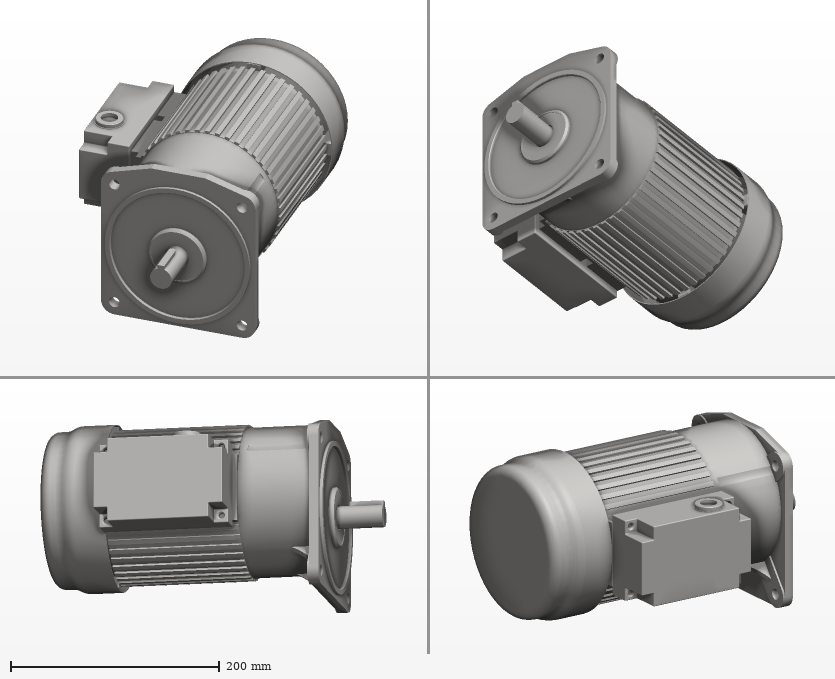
import cadquery as cq
import math


SHAFT_END_Y = -48.5
CASE_BACK_Y = 81.0
FRAME_BACK_Y = 210.5
COVER_BACK_Y = 275.2

SHAFT_DROP = 18.0
SHAFT_R = 11.0
SHAFT_TAIL = 16.2
KEY_WIDTH = 6.8
KEY_TOP = 14.5
KEY_LENGTH = 35.0

CASE_R = 72.5
FLANGE_HALF = 79.0
FLANGE_THICKNESS = 9.5
FLANGE_TOP_HALF = 27.5
BOLT_OFFSET = 65.5
FLANGE_CORNER_R = FLANGE_HALF - BOLT_OFFSET
BOLT_HOLE_R = 5.5
PAD_HEIGHT = 2.0
GROOVE_R = 12.5
GROOVE_AXIS_R = 84.2
GROOVE_ANGLE = 34.6
GROOVE_END_Y = 73.2
SPIGOT_R = 74.0
SPIGOT_HEIGHT = 3.0
RECESS_R = 68.5
RECESS_CHAMFER = 0.5
COLLAR_R = 29.5
COLLAR_HEIGHT = 5.0
COLLAR_CHAMFER = 2.0
COLLAR_SINK_R = 26.0
COLLAR_SINK_DEPTH = 0.5
SEAL_R = 12.3
SEAL_DEPTH = 3.2
RIB_WIDTH = 5.8
RIB_SAG = 2.0
RIB_EMBED = 1.5
BOTTOM_RIB_FOOT = 91.0
BOTTOM_RIB_BACK_Y = 39.0
CORNER_RIB_FOOT = 91.3
CORNER_RIB_BACK_Y = 34.5

FIN_COUNT = 45
FIN_WIDTH = 5.0
FIN_R = 75.5
FIN_ROOT_R = 73.2
SEAT_X = 73.2
SEAT_HALF_HEIGHT = 32.5
SEAT_DEPTH = 10.5
FOOT_FRONT_Y = 89.7
FOOT_GAP = (153.5, 163.0)

COVER_R = 81.0
COVER_NECK_R = 76.0
COVER_WALL = 1.0
CAVITY_CONE_Y = 244.0
CAVITY_END_Y = 249.3
CAVITY_END_R = 71.0
COVER_BACK_FILLET = 10.0
SHOULDER_START_Y = 241.2
SHOULDER_MID_Y = 251.5
SHOULDER_END_Y = 258.5
TAB_WIDTH = 13.0
TAB_COUNT = 4
TAB_LENGTH = 26.0
TAB_EMBED = 3.2
TAB_CLEARANCE = 0.5
HUB_R = 68.0

BOX_OUTER_X = 132.5
BOX_INNER_X = 81.0
BOX_HALF_HEIGHT = 40.8
BOX_FRONT_Y = 84.0
BOX_EDGE_R = 1.0
NOTCH_DEPTH = 29.0
NOTCH_SIZE = 13.5
SCREW_OFFSET = 6.8
SCREW_R = 2.5
SCREW_DEPTH = 5.0
SCREW_SINK = 1.3
GLAND_X = -115.0
GLAND_Y = 121.7
GLAND_R = 13.5
WASHER_R = 14.5
WASHER_HEIGHT = 0.5
GLAND_HEIGHT = 5.0
GLAND_CHAMFER = 0.5
GLAND_BORE_R = 8.5


def cylinder(radius, y_from, y_to, x=0, z=0):
    """Cylinder along Y between two Y positions."""
    base = cq.Workplane("XZ", origin=(0, y_from, 0)).center(x, z)
    return base.circle(radius).extrude(y_from - y_to)


def block(x_from, x_to, y_from, y_to, z_from, z_to):
    """Box given by its limits."""
    size = (x_to - x_from, y_to - y_from, z_to - z_from)
    return cq.Workplane("XY").box(*size, centered=False).translate((x_from, y_from, z_from))


def about_motor_axis(shape, degrees):
    """Turn a shape around the motor axis, counter-clockwise seen from the front."""
    return shape.rotate((0, 0, 0), (0, -1, 0), degrees)


BOLTS = [
    (side * BOLT_OFFSET, -SHAFT_DROP + level * BOLT_OFFSET)
    for side in (-1, 1)
    for level in (-1, 1)
]


def make_flange():
    bottom = -SHAFT_DROP - FLANGE_HALF
    run = BOLT_OFFSET - FLANGE_TOP_HALF
    fall = CASE_R - (BOLT_OFFSET - SHAFT_DROP)
    slope_angle = math.atan2(fall, run) - math.asin(FLANGE_CORNER_R / math.hypot(run, fall))
    shoulder = CASE_R - math.tan(slope_angle) * (FLANGE_HALF - FLANGE_TOP_HALF)
    outline = [
        (-FLANGE_HALF, bottom),
        (FLANGE_HALF, bottom),
        (FLANGE_HALF, shoulder),
        (FLANGE_TOP_HALF, CASE_R),
        (-FLANGE_TOP_HALF, CASE_R),
        (-FLANGE_HALF, shoulder),
    ]
    plate = cq.Workplane("XZ").polyline(outline).close().extrude(-FLANGE_THICKNESS)
    side_corners = plate.edges("|Y").filter(lambda edge: abs(edge.Center().x) > BOLT_OFFSET)
    return side_corners.fillet(FLANGE_CORNER_R)


def make_bolt_pad(x, z):
    """Raised bar around a bolt hole, running in to the motor axis."""
    reach = math.hypot(x, z)
    bar = block(0, reach, 0, FLANGE_THICKNESS + PAD_HEIGHT, -FLANGE_CORNER_R, FLANGE_CORNER_R)
    pad = bar.union(cylinder(FLANGE_CORNER_R, 0, FLANGE_THICKNESS + PAD_HEIGHT, x=reach))
    return about_motor_axis(pad, math.degrees(math.atan2(z, x)))


def make_rib(foot, back_y):
    """Hollow-edged rib along +X from the case wall out to the flange, with its foot on the pad."""
    start = (CASE_R - RIB_EMBED, back_y + RIB_EMBED)
    end = (foot, FLANGE_THICKNESS + PAD_HEIGHT)
    span = math.dist(start, end)
    middle = (
        (start[0] + end[0]) / 2 - RIB_SAG * (start[1] - end[1]) / span,
        (start[1] + end[1]) / 2 - RIB_SAG * (end[0] - start[0]) / span,
    )
    side = (
        cq.Workplane("XY")
        .moveTo(*start)
        .threePointArc(middle, end)
        .lineTo(foot, 0)
        .lineTo(start[0], 0)
        .close()
    )
    return side.extrude(RIB_WIDTH / 2, both=True)


def make_shaft():
    shaft = cylinder(SHAFT_R, SHAFT_END_Y, SHAFT_TAIL, z=-SHAFT_DROP)
    key_end_y = SHAFT_END_Y + KEY_LENGTH
    half = KEY_WIDTH / 2
    bar = block(-half, half, SHAFT_END_Y, key_end_y - half, -SHAFT_DROP, KEY_TOP - SHAFT_DROP)
    nose = (
        cq.Workplane("XY", origin=(0, key_end_y - half, -SHAFT_DROP)).circle(half).extrude(KEY_TOP)
    )
    return shaft.union(bar).union(nose)


def make_gear_case(shaft):
    case = cylinder(CASE_R, 0, CASE_BACK_Y)
    groove = cylinder(GROOVE_R, 0, GROOVE_END_Y, x=GROOVE_AXIS_R)
    for degrees in (GROOVE_ANGLE, 180 - GROOVE_ANGLE):
        case = case.cut(about_motor_axis(groove, degrees))
    case = case.union(make_flange())
    for x, z in BOLTS:
        case = case.union(make_bolt_pad(x, z))
        if z < 0:
            rib = make_rib(CORNER_RIB_FOOT, CORNER_RIB_BACK_Y)
            case = case.union(about_motor_axis(rib, math.degrees(math.atan2(z, x))))
    case = case.union(about_motor_axis(make_rib(BOTTOM_RIB_FOOT, BOTTOM_RIB_BACK_Y), -90))
    for x, z in BOLTS:
        case = case.cut(cylinder(BOLT_HOLE_R, 0, FLANGE_THICKNESS + PAD_HEIGHT, x, z))

    spigot = cylinder(SPIGOT_R, -SPIGOT_HEIGHT, 0, z=-SHAFT_DROP)
    spigot = spigot.cut(cylinder(RECESS_R, -SPIGOT_HEIGHT, 0, z=-SHAFT_DROP))
    spigot_rim = spigot.faces("<Y").edges(cq.selectors.RadiusNthSelector(0))
    spigot = spigot_rim.chamfer(RECESS_CHAMFER)

    collar = cylinder(COLLAR_R, -COLLAR_HEIGHT, 0, z=-SHAFT_DROP)
    collar = collar.faces("<Y").chamfer(COLLAR_CHAMFER)
    sink_y = COLLAR_SINK_DEPTH - COLLAR_HEIGHT
    collar = collar.cut(cylinder(COLLAR_SINK_R, -COLLAR_HEIGHT, sink_y, z=-SHAFT_DROP))
    case = case.union(spigot).union(collar)
    case = case.cut(cylinder(SEAL_R, sink_y, sink_y + SEAL_DEPTH, z=-SHAFT_DROP))
    return case.cut(shaft)


def make_frame():
    frame = cylinder(FIN_ROOT_R, CASE_BACK_Y, FRAME_BACK_Y)
    half = FIN_WIDTH / 2
    fin = block(-half, half, CASE_BACK_Y, FRAME_BACK_Y, FIN_ROOT_R - FIN_WIDTH, FIN_R + FIN_WIDTH)
    fin = fin.intersect(cylinder(FIN_R, CASE_BACK_Y, FRAME_BACK_Y))
    fins = [about_motor_axis(fin, i * 360 / FIN_COUNT).val() for i in range(FIN_COUNT)]
    frame = frame.union(cq.Workplane(cq.Compound.makeCompound(fins)))

    z = SEAT_HALF_HEIGHT
    frame = frame.cut(block(-FIN_R, -SEAT_X, CASE_BACK_Y, FRAME_BACK_Y, -z, z))
    frame = frame.union(block(-SEAT_X, SEAT_DEPTH - SEAT_X, CASE_BACK_Y, FRAME_BACK_Y, -z, z))
    for y_from, y_to in ((FOOT_FRONT_Y, FOOT_GAP[0]), (FOOT_GAP[1], FRAME_BACK_Y)):
        frame = frame.union(block(-BOX_INNER_X, -SEAT_X, y_from, y_to, -z, z))

    tab_end = FRAME_BACK_Y + TAB_LENGTH
    tab_r = COVER_R - COVER_WALL - TAB_CLEARANCE
    holder = cylinder(HUB_R, FRAME_BACK_Y, tab_end)
    half_tab = TAB_WIDTH / 2
    tab = block(-half_tab, half_tab, FRAME_BACK_Y, tab_end, HUB_R - TAB_EMBED, COVER_R)
    for i in range(TAB_COUNT):
        holder = holder.union(about_motor_axis(tab, i * 360 / TAB_COUNT))
    holder = holder.intersect(cylinder(tab_r, FRAME_BACK_Y, tab_end))
    return frame.union(holder)


def make_fan_cover():
    length = SHOULDER_END_Y - SHOULDER_START_Y
    half_turn = math.atan((COVER_R - COVER_NECK_R) / length)
    turn = 2 * half_turn
    outer_arc_r = (SHOULDER_MID_Y - SHOULDER_START_Y) / math.sin(turn)
    inner_arc_r = (SHOULDER_END_Y - SHOULDER_MID_Y) / math.sin(turn)

    def on_outer_arc(angle):
        radius = COVER_R - outer_arc_r * (1 - math.cos(angle))
        return (radius, SHOULDER_START_Y + outer_arc_r * math.sin(angle))

    def on_inner_arc(angle):
        radius = COVER_NECK_R + inner_arc_r * (1 - math.cos(angle))
        return (radius, SHOULDER_END_Y - inner_arc_r * math.sin(angle))

    shell = (
        cq.Workplane("XY")
        .moveTo(0, FRAME_BACK_Y)
        .lineTo(COVER_R, FRAME_BACK_Y)
        .lineTo(COVER_R, SHOULDER_START_Y)
        .threePointArc(on_outer_arc(half_turn), on_outer_arc(turn))
        .threePointArc(on_inner_arc(half_turn), (COVER_NECK_R, SHOULDER_END_Y))
        .lineTo(COVER_NECK_R, COVER_BACK_Y)
        .lineTo(0, COVER_BACK_Y)
        .close()
        .revolve(360, (0, 0, 0), (0, 1, 0))
    )
    shell = shell.faces(">Y").edges().fillet(COVER_BACK_FILLET)

    cavity_r = COVER_R - COVER_WALL
    cavity_outline = [
        (0, FRAME_BACK_Y),
        (cavity_r, FRAME_BACK_Y),
        (cavity_r, CAVITY_CONE_Y),
        (CAVITY_END_R, CAVITY_END_Y),
        (0, CAVITY_END_Y),
    ]
    cavity = cq.Workplane("XY").polyline(cavity_outline).close().revolve(360, (0, 0, 0), (0, 1, 0))
    return shell.cut(cavity)


def make_terminal_box():
    z = BOX_HALF_HEIGHT
    box = block(-BOX_OUTER_X, -BOX_INNER_X, BOX_FRONT_Y, FRAME_BACK_Y, -z, z)
    y_mid = (BOX_FRONT_Y + FRAME_BACK_Y) / 2
    y_half = (FRAME_BACK_Y - BOX_FRONT_Y) / 2
    corners = [(along, up) for along in (-1, 1) for up in (-1, 1)]
    size = 2 * NOTCH_SIZE
    for along, up in corners:
        notch = cq.Workplane("XY").box(2 * NOTCH_DEPTH, size, size)
        box = box.cut(notch.translate((-BOX_OUTER_X, y_mid + along * y_half, up * z)))
    box = box.edges().fillet(BOX_EDGE_R)

    wall_x = NOTCH_DEPTH - BOX_OUTER_X
    for along, up in corners:
        y = y_mid + along * (y_half - SCREW_OFFSET)
        seat = cq.Workplane("YZ", origin=(wall_x, y, up * (z - SCREW_OFFSET)))
        hole = seat.circle(SCREW_R).extrude(SCREW_DEPTH)
        sink = seat.circle(SCREW_R + SCREW_SINK).extrude(SCREW_SINK, taper=45)
        box = box.cut(hole).cut(sink)

    gland_seat = cq.Workplane("XY", origin=(GLAND_X, GLAND_Y, z))
    gland = gland_seat.circle(GLAND_R).extrude(GLAND_HEIGHT).faces(">Z").chamfer(GLAND_CHAMFER)
    gland = gland.union(gland_seat.circle(WASHER_R).extrude(WASHER_HEIGHT))
    gland = gland.faces(">Z").workplane().circle(GLAND_BORE_R).cutThruAll()
    return box.union(gland)


output_shaft = make_shaft()
gear_case = make_gear_case(output_shaft)
motor_frame = make_frame()
fan_cover = make_fan_cover()
terminal_box = make_terminal_box()

result = cq.Compound.makeCompound(
    [output_shaft.val(), gear_case.val(), motor_frame.val(), fan_cover.val(), terminal_box.val()]
)